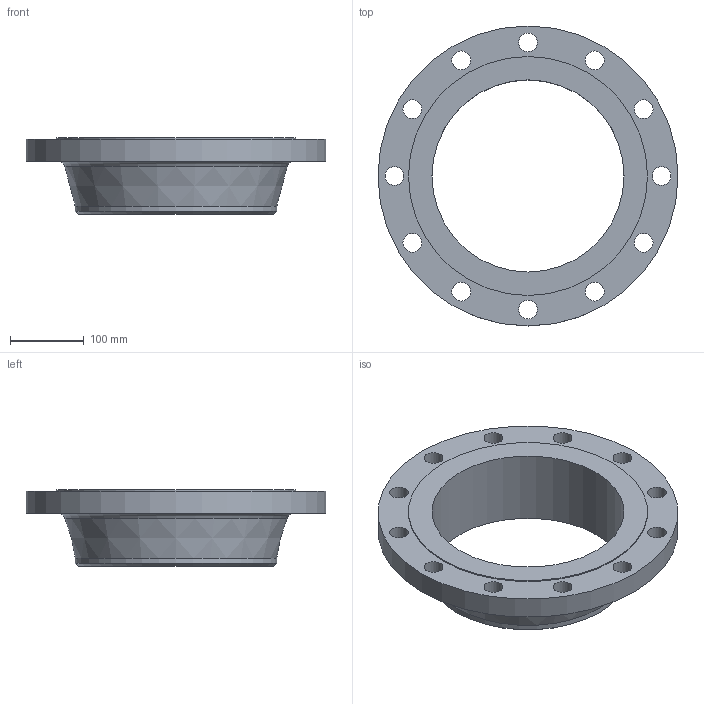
import cadquery as cq
import math


flange_diameter = 406.4
raised_face_diameter = 323.85
raised_face_height = 1.59
flange_thickness = 30.16
overall_height = 103.19

bore_diameter = 260.35
weld_diameter = 273.05
hub_base_diameter = 304.8
hub_fillet_radius = 9.5
straight_neck_top = 10.8

weld_land = 1.6
bevel_angle = 37.5

bolt_count = 12
bolt_circle_diameter = 361.95
bolt_hole_diameter = 25.4

flange_top = overall_height - raised_face_height
flange_bottom = flange_top - flange_thickness
bore_radius = bore_diameter / 2
weld_radius = weld_diameter / 2
hub_base_radius = hub_base_diameter / 2
bevel_radius = bore_radius + weld_land
bevel_height = (weld_radius - bevel_radius) * math.tan(math.radians(bevel_angle))


def hub_fillet_points():
    """Return the (radius, height) start, middle and end of the arc joining cone and flange."""
    cone_angle = math.atan2(hub_base_radius - weld_radius, flange_bottom - straight_neck_top)
    tangent_length = hub_fillet_radius / math.tan((math.pi / 2 + cone_angle) / 2)
    start = (
        hub_base_radius - tangent_length * math.sin(cone_angle),
        flange_bottom - tangent_length * math.cos(cone_angle),
    )
    end = (hub_base_radius + tangent_length, flange_bottom)
    center_height = flange_bottom - hub_fillet_radius
    middle_angle = (math.pi / 2 + math.pi - cone_angle) / 2
    middle = (
        end[0] + hub_fillet_radius * math.cos(middle_angle),
        center_height + hub_fillet_radius * math.sin(middle_angle),
    )
    return start, middle, end


def make_body():
    """Revolve the half section, drawn on the -X side, about the Z axis."""

    def section_point(point):
        radius, height = point
        return (-radius, height)

    fillet_start, fillet_middle, fillet_end = map(section_point, hub_fillet_points())
    flange_radius = flange_diameter / 2
    face_radius = raised_face_diameter / 2
    return (
        cq.Workplane("XZ")
        .moveTo(-bore_radius, 0)
        .lineTo(-bevel_radius, 0)
        .lineTo(-weld_radius, bevel_height)
        .lineTo(-weld_radius, straight_neck_top)
        .lineTo(*fillet_start)
        .threePointArc(fillet_middle, fillet_end)
        .lineTo(-flange_radius, flange_bottom)
        .lineTo(-flange_radius, flange_top)
        .lineTo(-face_radius, flange_top)
        .lineTo(-face_radius, overall_height)
        .lineTo(-bore_radius, overall_height)
        .close()
        .revolve(360, (0, 0, 0), (0, 1, 0))
    )


def drill_bolt_holes(body):
    """Cut the evenly spaced bolt holes through the flange disc."""
    holes = (
        cq.Workplane("XY")
        .workplane(offset=flange_bottom)
        .polarArray(bolt_circle_diameter / 2, 0, 360, bolt_count)
        .circle(bolt_hole_diameter / 2)
        .extrude(flange_thickness)
    )
    return body.cut(holes)


result = drill_bolt_holes(make_body())